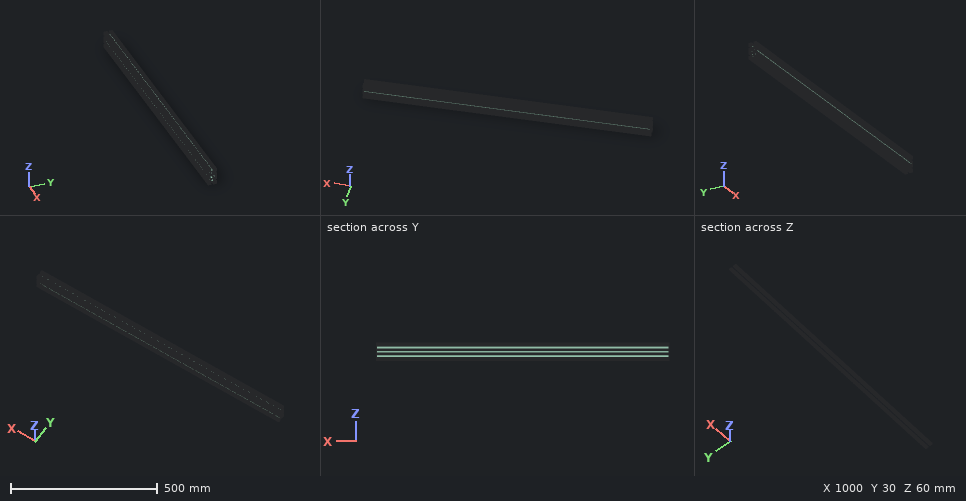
import cadquery as cq
length = 1000.0
cell = 30.0
corner_radius = 2.0
cell_centers = (-cell / 2, cell / 2)

slot_opening = 9.0
slot_width = 14.0
slot_floor_width = 11.0
slot_depth = 7.5
slot_shoulder_depth = 5.0
lip_thickness = 2.0

bore_diameter = 10.0

wall_thickness = 2.0
cavity_width = cell - 2 * wall_thickness
cavity_side_height = 8.0
cavity_neck_width = 13.0
cavity_shoulder_height = 13.0
cavity_floor_width = 10.0
cavity_height = 16.0

corner_hole_size = 3.0
corner_wall = 2.0
corner_hole_inset = corner_wall + corner_hole_size / 2


def end_plane():
    """Section plane on the -X end: local x is Y, local y is Z."""
    return cq.Workplane("YZ", origin=(-length / 2, 0, 0))


def mirrored_prism(right_half):
    """Extrude an outline given by its right half, mirrored in local x."""
    left_half = [(-x, y) for x, y in reversed(right_half)]
    return end_plane().polyline(right_half + left_half).close().extrude(length)


def t_slot(y, z, angle):
    """T-slot cutter with its mouth at (y, z); at angle 0 it opens towards +Z."""
    slot = mirrored_prism([
        (slot_opening / 2, 0),
        (slot_opening / 2, -lip_thickness),
        (slot_width / 2, -lip_thickness),
        (slot_width / 2, -slot_shoulder_depth),
        (slot_floor_width / 2, -slot_depth),
    ])
    return slot.rotate((0, 0, 0), (1, 0, 0), angle).translate((0, y, z))


def bore(z):
    """Round hollow on the axis of the cell centred at height z."""
    return end_plane().center(0, z).circle(bore_diameter / 2).extrude(length)


def center_cavity():
    """Wide hollow between the cells with a chamfered neck above and below."""
    upper = [
        (cavity_floor_width / 2, cavity_height / 2),
        (cavity_neck_width / 2, cavity_shoulder_height / 2),
        (cavity_neck_width / 2, cavity_side_height / 2),
        (cavity_width / 2, cavity_side_height / 2),
    ]
    lower = [(x, -y) for x, y in reversed(upper)]
    return mirrored_prism(upper + lower)


def corner_holes():
    """Square hollows inside the four outer corners."""
    spacing_y = cell - 2 * corner_hole_inset
    spacing_z = 2 * cell - 2 * corner_hole_inset
    centers = end_plane().rect(spacing_y, spacing_z, forConstruction=True).vertices()
    return centers.rect(corner_hole_size, corner_hole_size).extrude(length)


result = end_plane().rect(cell, 2 * cell).extrude(length)
result = result.edges("|X").fillet(corner_radius)

result = result.cut(t_slot(0, cell, 0))
result = result.cut(t_slot(0, -cell, 180))

for cell_z in cell_centers:
    result = result.cut(t_slot(-cell / 2, cell_z, 90))
    result = result.cut(t_slot(cell / 2, cell_z, -90))
    result = result.cut(bore(cell_z))

result = result.cut(center_cavity())
result = result.cut(corner_holes())